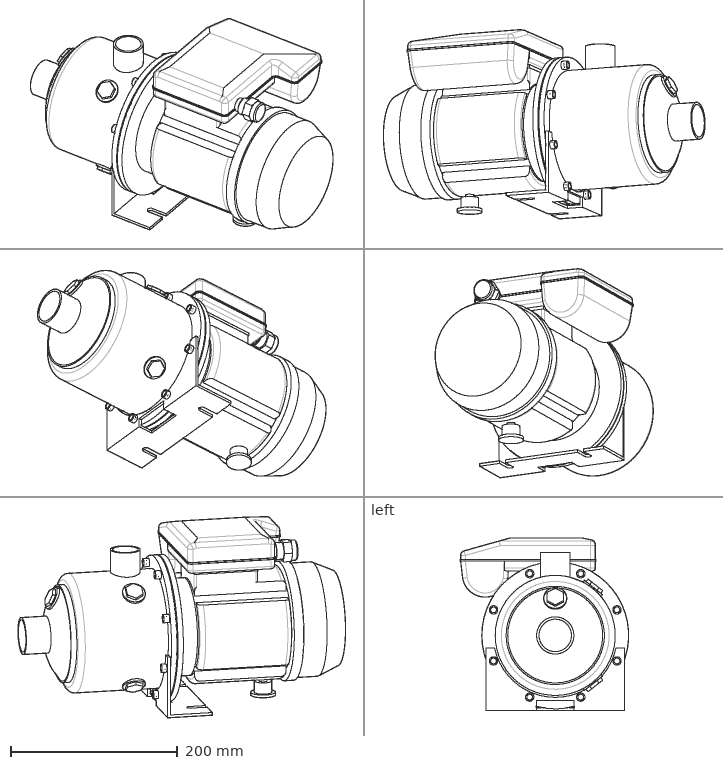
import cadquery as cq
import math


OVERALL_LENGTH = 385.0
FLOOR_Z = -90.0

DOME_START_X = 30.5
DOME_END_X = 46.5
CASING_START_X = 53.5
FLANGE_START_X = 163.3
FLANGE_THICKNESS = 7.0
FLANGE_RADIUS = 88.0
CASING_RADIUS = 72.0
CASING_NOSE_FILLET = 7.5
COLLAR_RADIUS = 59.0
DOME_EDGE_RADIUS = 57.0
DOME_MID_X = 36.5
DOME_MID_RADIUS = 42.0
INLET_OUTER_RADIUS = 22.5
INLET_BORE_RADIUS = 19.45
OUTLET_X = 127.0
OUTLET_OUTER_RADIUS = 17.9
OUTLET_BORE_RADIUS = 15.2
OUTLET_TOP_Z = 99.7

PLUG_WASHER_RADIUS = 14.0
PLUG_WASHER_RISE = 1.5
PLUG_HEX_RISE = 5.5
PLUG_HEX_CORNERS = 22.5
PLUG_ROOT_DEPTH = 4.0
CASING_PLUG_ANGLE = 51.5
DOME_PLUG_TILT = 26.0
DOME_PLUG_SEAT_X = 37.7
DOME_PLUG_SEAT_Z = 44.3

SCREW_COUNT = 8
SCREW_CIRCLE_RADIUS = 80.0
SCREW_HEAD_RADIUS = 5.0
SCREW_SOCKET_RADIUS = 3.5
SCREW_SOCKET_DEPTH = 3.5
SCREW_HEAD_HEIGHT = 7.0
BRACKET_SCREW_HEAD_HEIGHT = 5.8
SCREW_SHANK_RADIUS = 3.5

SHEET = 3.5
BRACKET_HALF_WIDTH = 83.0
BRACKET_TOP_Z = -15.0
BRACKET_OPENING_RADIUS = 74.5
BRACKET_TOE_X = 215.0
WINDOW_WIDTH = 45.5
WINDOW_TOP_Z = -77.8
WINDOW_END_X = 179.5
SLOT_Y = 52.5
SLOT_WIDTH = 8.0
SLOT_CENTRE_X = 195.2

SEAL_THICKNESS = 1.0
SEAL_RADIUS = 84.7
ADAPTER_FLANGE_END_X = 178.0
ADAPTER_END_X = 202.0

MOTOR_END_X = 318.5
LOBE_START_X = 204.0
LOBE_END_X = 317.0
LOBE_RADIUS = 69.5
LOBE_END_FILLET = 5.8
SIDE_LOBE_HALF = 40.0
UPRIGHT_LOBE_HALF = 36.2
PEDESTAL_END_X = 282.3
PEDESTAL_TOP_Z = 73.0
PEDESTAL_CORNER = 2.5

COVER_FLANGE_END_X = 330.5
COVER_RADIUS = 69.0
COVER_CONE_START_X = 359.5
COVER_END_RADIUS = 57.8

BOX_START_X = 193.0
BOX_MAIN_END_X = 302.0
BOX_END_X = 332.7
BOX_FRONT_Y = -49.0
BOX_STEP_Y = 55.0
BOX_BACK_Y = 114.5
BOX_EDGE_RADIUS = 5.8
BOX_TOP_Z = 117.0
BOX_TRAY_Z = 77.0
RIM_BOTTOM_Z = 89.5
RIM_TOP_Z = 91.3
RIM_PROUD = 0.8
ROOF_START_X = 208.7
ROOF_END_X = 287.0
ROOF_FRONT_Y = -31.5
ROOF_BACK_Y = 54.0
ROOF_SLOPE = 0.36
ROOF_FRONT_SLOPE = 0.2
ROOF_BACK_SLOPE = 0.28
TRAY_FILLET = 4.0
CAPACITOR_Y = 84.0
CAPACITOR_HALF_WIDTH = 27.5
CAPACITOR_ARC_Z = 69.5
CAPACITOR_BOTTOM_Z = 46.0
CAPACITOR_END_DRAFT = 4.5

GLAND_Y = -20.5
GLAND_Z = 92.0
GLAND_NECK_RADIUS = 8.5
GLAND_BODY_START_X = 307.0
GLAND_BODY_RADIUS = 10.2
GLAND_NUT_START_X = 315.5
GLAND_NUT_CORNERS = 27.7
GLAND_CAP_START_X = 325.5
GLAND_CAP_RADIUS = 12.5
GLAND_CAP_CHAMFER = 1.5

FOOT_X = 297.0
FOOT_STEM_RADIUS = 5.0
FOOT_STEM_TOP_Z = -65.5
FOOT_RUBBER_TOP_Z = -72.8
FOOT_RUBBER_RADIUS = 10.6
FOOT_BASE_RADIUS = 15.0
FOOT_BASE_TOP_Z = FLOOR_Z + SHEET

FLANGE_END_X = FLANGE_START_X + FLANGE_THICKNESS
BRACKET_START_X = FLANGE_START_X - SHEET


def disc(radius, start_x, end_x, y=0.0, z=0.0):
    """Cylinder along X."""
    return cq.Workplane("YZ", origin=(start_x, y, z)).circle(radius).extrude(end_x - start_x)


def post(radius, bottom_z, top_z, x):
    """Cylinder along Z above or below the shaft axis."""
    return cq.Workplane("XY", origin=(x, 0, bottom_z)).circle(radius).extrude(top_z - bottom_z)


def block(start, end):
    """Box between two opposite corners."""
    size = [b - a for a, b in zip(start, end)]
    return cq.Workplane("XY").box(*size, centered=False).translate(start)


def screw_places():
    """(y, z) centres of the flange screws."""
    angles = [math.radians(360 / SCREW_COUNT * (i + 0.5)) for i in range(SCREW_COUNT)]
    return [(SCREW_CIRCLE_RADIUS * math.cos(a), SCREW_CIRCLE_RADIUS * math.sin(a)) for a in angles]


def casing_shell():
    """Dome, collar, barrel and flange, turned about the shaft axis."""
    profile = (
        cq.Workplane("XY")
        .moveTo(DOME_START_X, 0)
        .lineTo(DOME_START_X, INLET_OUTER_RADIUS)
        .threePointArc((DOME_MID_X, DOME_MID_RADIUS), (DOME_END_X, DOME_EDGE_RADIUS))
        .lineTo(DOME_END_X, COLLAR_RADIUS)
        .lineTo(CASING_START_X, COLLAR_RADIUS)
        .lineTo(CASING_START_X, CASING_RADIUS - CASING_NOSE_FILLET)
        .radiusArc((CASING_START_X + CASING_NOSE_FILLET, CASING_RADIUS), CASING_NOSE_FILLET)
        .lineTo(FLANGE_START_X, CASING_RADIUS)
        .lineTo(FLANGE_START_X, FLANGE_RADIUS)
        .lineTo(FLANGE_END_X, FLANGE_RADIUS)
        .lineTo(FLANGE_END_X, 0)
        .close()
    )
    return profile.revolve(360, (0, 0, 0), (1, 0, 0))


def inlet_pipe():
    return disc(INLET_OUTER_RADIUS, 0, DOME_START_X).cut(disc(INLET_BORE_RADIUS, 0, DOME_START_X))


def outlet_pipe():
    """Tube standing on the barrel."""
    pipe = post(OUTLET_OUTER_RADIUS, 0, OUTLET_TOP_Z, OUTLET_X)
    bore = post(OUTLET_BORE_RADIUS, 0, OUTLET_TOP_Z, OUTLET_X)
    return pipe.cut(bore).cut(disc(CASING_RADIUS, CASING_START_X, FLANGE_START_X))


def plug(seat, outward, corner_direction):
    """Round washer and hexagon head on a seat point."""
    plane = cq.Plane(origin=seat, xDir=corner_direction, normal=outward)
    base = cq.Workplane(plane).workplane(offset=-PLUG_ROOT_DEPTH)
    washer = base.circle(PLUG_WASHER_RADIUS).extrude(PLUG_ROOT_DEPTH + PLUG_WASHER_RISE)
    head = base.polygon(6, PLUG_HEX_CORNERS).extrude(PLUG_ROOT_DEPTH + PLUG_HEX_RISE)
    return washer.union(head)


def casing_plug(angle):
    """Plug on the -Y side of the barrel."""
    cosine = math.cos(math.radians(angle))
    sine = math.sin(math.radians(angle))
    seat = (OUTLET_X, -CASING_RADIUS * cosine, CASING_RADIUS * sine)
    return plug(seat, (0, -cosine, sine), (0, sine, cosine))


def dome_plug():
    cosine = math.cos(math.radians(DOME_PLUG_TILT))
    sine = math.sin(math.radians(DOME_PLUG_TILT))
    return plug((DOME_PLUG_SEAT_X, 0, DOME_PLUG_SEAT_Z), (-cosine, 0, sine), (sine, 0, cosine))


def flange_screw(y, z):
    """Socket screw; the lower ones clamp the bracket, so their heads sit in front of it."""
    holds_bracket = z < 0
    seat_x = BRACKET_START_X if holds_bracket else FLANGE_START_X
    head_x = seat_x - (BRACKET_SCREW_HEAD_HEIGHT if holds_bracket else SCREW_HEAD_HEIGHT)
    head = disc(SCREW_HEAD_RADIUS, head_x, seat_x, y, z)
    shank = disc(SCREW_SHANK_RADIUS, head_x, FLANGE_END_X, y, z)
    socket = disc(SCREW_SOCKET_RADIUS, head_x, head_x + SCREW_SOCKET_DEPTH, y, z)
    return head.union(shank).cut(socket)


def make_casing():
    casing = casing_shell().union(inlet_pipe()).union(outlet_pipe()).union(dome_plug())
    for angle in (CASING_PLUG_ANGLE, -CASING_PLUG_ANGLE):
        casing = casing.union(casing_plug(angle))
    for y, z in screw_places():
        casing = casing.union(flange_screw(y, z))
    return casing


def make_bracket():
    """Bent sheet: an upright plate around the casing and a toe on the floor."""
    plate = block(
        (BRACKET_START_X, -BRACKET_HALF_WIDTH, FLOOR_Z), (FLANGE_START_X, BRACKET_HALF_WIDTH, BRACKET_TOP_Z)
    )
    plate = plate.cut(disc(BRACKET_OPENING_RADIUS, BRACKET_START_X, FLANGE_START_X))
    for y, z in screw_places():
        plate = plate.cut(disc(SCREW_SHANK_RADIUS, BRACKET_START_X, FLANGE_START_X, y, z))

    toe_top_z = FLOOR_Z + SHEET
    toe = block(
        (FLANGE_START_X, -BRACKET_HALF_WIDTH, FLOOR_Z), (BRACKET_TOE_X, BRACKET_HALF_WIDTH, toe_top_z)
    )
    for y in (-SLOT_Y, SLOT_Y):
        slot = block(
            (SLOT_CENTRE_X, y - SLOT_WIDTH / 2, FLOOR_Z), (BRACKET_TOE_X, y + SLOT_WIDTH / 2, toe_top_z)
        )
        slot_end = post(SLOT_WIDTH / 2, FLOOR_Z, toe_top_z, SLOT_CENTRE_X).translate((0, y, 0))
        toe = toe.cut(slot).cut(slot_end)
    window = block(
        (BRACKET_START_X, -WINDOW_WIDTH / 2, FLOOR_Z), (WINDOW_END_X, WINDOW_WIDTH / 2, WINDOW_TOP_Z)
    )
    return plate.union(toe).cut(window)


def make_adapter():
    """Narrower seal step, flange and tube."""
    flange_start_x = FLANGE_END_X + SEAL_THICKNESS
    seal = disc(SEAL_RADIUS, FLANGE_END_X, flange_start_x)
    flange = disc(FLANGE_RADIUS, flange_start_x, ADAPTER_FLANGE_END_X)
    return seal.union(flange).union(disc(COLLAR_RADIUS, ADAPTER_FLANGE_END_X, ADAPTER_END_X))


def motor_lobes():
    """Four lobes: a larger round-ended cylinder kept only inside two crossing slabs."""
    drum = disc(LOBE_RADIUS, LOBE_START_X, LOBE_END_X).edges("%CIRCLE").fillet(LOBE_END_FILLET)
    side_slab = block(
        (LOBE_START_X, -LOBE_RADIUS, -SIDE_LOBE_HALF), (LOBE_END_X, LOBE_RADIUS, SIDE_LOBE_HALF)
    )
    upright_slab = block(
        (LOBE_START_X, -UPRIGHT_LOBE_HALF, -LOBE_RADIUS), (LOBE_END_X, UPRIGHT_LOBE_HALF, LOBE_RADIUS)
    )
    return drum.intersect(side_slab.union(upright_slab))


def make_motor():
    core = disc(COLLAR_RADIUS, ADAPTER_END_X, MOTOR_END_X)
    pedestal = block(
        (LOBE_START_X, -UPRIGHT_LOBE_HALF, 0), (PEDESTAL_END_X, UPRIGHT_LOBE_HALF, PEDESTAL_TOP_Z)
    )
    pedestal = pedestal.edges("|Z").fillet(PEDESTAL_CORNER)
    stem_hole = post(FOOT_STEM_RADIUS, -LOBE_RADIUS, FOOT_STEM_TOP_Z, FOOT_X)
    return core.union(motor_lobes()).union(pedestal).cut(stem_hole)


def make_fan_cover():
    """Flange and drum with a conical end."""
    profile = cq.Workplane("XY").polyline([
        (MOTOR_END_X, 0),
        (MOTOR_END_X, CASING_RADIUS),
        (COVER_FLANGE_END_X, CASING_RADIUS),
        (COVER_FLANGE_END_X, COVER_RADIUS),
        (COVER_CONE_START_X, COVER_RADIUS),
        (OVERALL_LENGTH, COVER_END_RADIUS),
        (OVERALL_LENGTH, 0),
    ])
    return profile.close().revolve(360, (0, 0, 0), (1, 0, 0))


def box_outline(level_z, height, inset):
    """L-shaped prism of the box plan, shrunk by an inset."""
    plan = cq.Workplane("XY", origin=(0, 0, level_z)).polyline([
        (BOX_START_X + inset, BOX_FRONT_Y + inset),
        (BOX_MAIN_END_X - inset, BOX_FRONT_Y + inset),
        (BOX_MAIN_END_X - inset, BOX_STEP_Y + inset),
        (BOX_END_X - inset, BOX_STEP_Y + inset),
        (BOX_END_X - inset, BOX_BACK_Y - inset),
        (BOX_START_X + inset, BOX_BACK_Y - inset),
    ])
    return plan.close().extrude(height)


def is_roof_rim(edge):
    """True for the edges where the sloping roof meets the walls."""
    bounds = edge.BoundingBox()
    return bounds.zmin > RIM_TOP_Z + BOX_EDGE_RADIUS and bounds.zmax < BOX_TOP_Z - BOX_EDGE_RADIUS / 2


def box_lid():
    """Lid whose roof falls from a flat middle to all four sides."""
    front_z = BOX_TOP_Z - ROOF_FRONT_SLOPE * (ROOF_FRONT_Y - BOX_FRONT_Y)
    back_z = BOX_TOP_Z - ROOF_BACK_SLOPE * (BOX_BACK_Y - ROOF_BACK_Y)
    start_z = BOX_TOP_Z - ROOF_SLOPE * (ROOF_START_X - BOX_START_X)
    end_z = BOX_TOP_Z - ROOF_SLOPE * (BOX_END_X - ROOF_END_X)
    across = cq.Workplane("YZ", origin=(BOX_START_X, 0, 0)).polyline([
        (BOX_FRONT_Y, RIM_TOP_Z),
        (BOX_FRONT_Y, front_z),
        (ROOF_FRONT_Y, BOX_TOP_Z),
        (ROOF_BACK_Y, BOX_TOP_Z),
        (BOX_BACK_Y, back_z),
        (BOX_BACK_Y, RIM_TOP_Z),
    ]).close().extrude(BOX_END_X - BOX_START_X)
    along = cq.Workplane("XZ", origin=(0, BOX_BACK_Y, 0)).polyline([
        (BOX_START_X, RIM_TOP_Z),
        (BOX_START_X, start_z),
        (ROOF_START_X, BOX_TOP_Z),
        (ROOF_END_X, BOX_TOP_Z),
        (BOX_END_X, end_z),
        (BOX_END_X, RIM_TOP_Z),
    ]).close().extrude(BOX_BACK_Y - BOX_FRONT_Y)
    lid = box_outline(RIM_TOP_Z, BOX_TOP_Z - RIM_TOP_Z, RIM_PROUD)
    lid = lid.intersect(across).intersect(along)
    corners = lid.edges("|Z").vals()
    roof_rim = lid.edges("not |Z").filter(is_roof_rim).vals()
    return lid.newObject(corners + roof_rim).fillet(BOX_EDGE_RADIUS)


def box_tray():
    """Shallow lower half with rounded bottom edges, running into the capacitor pod at the back."""
    tray = block(
        (BOX_START_X + RIM_PROUD, BOX_FRONT_Y + RIM_PROUD, BOX_TRAY_Z),
        (BOX_MAIN_END_X - RIM_PROUD, BOX_STEP_Y + BOX_EDGE_RADIUS, RIM_BOTTOM_Z),
    )
    tray = tray.edges("|Z and <Y").fillet(BOX_EDGE_RADIUS)
    return tray.faces("<Z").edges("not >Y").fillet(TRAY_FILLET)


def capacitor_pod():
    """Round-bottomed pod under the rear of the box, with drafted and rounded ends."""
    start_x = BOX_START_X + RIM_PROUD
    end_x = BOX_END_X - RIM_PROUD
    across = (
        cq.Workplane("YZ", origin=(start_x, 0, 0))
        .moveTo(BOX_STEP_Y + RIM_PROUD, RIM_BOTTOM_Z)
        .lineTo(CAPACITOR_Y - CAPACITOR_HALF_WIDTH, CAPACITOR_ARC_Z)
        .threePointArc(
            (CAPACITOR_Y, CAPACITOR_BOTTOM_Z), (CAPACITOR_Y + CAPACITOR_HALF_WIDTH, CAPACITOR_ARC_Z)
        )
        .lineTo(BOX_BACK_Y - RIM_PROUD, RIM_BOTTOM_Z)
        .close()
        .extrude(end_x - start_x)
    )
    along = cq.Workplane("XZ", origin=(0, BOX_BACK_Y, 0)).polyline([
        (start_x, RIM_BOTTOM_Z),
        (end_x, RIM_BOTTOM_Z),
        (end_x - CAPACITOR_END_DRAFT, CAPACITOR_BOTTOM_Z),
        (start_x + CAPACITOR_END_DRAFT, CAPACITOR_BOTTOM_Z),
    ]).close().extrude(BOX_BACK_Y - BOX_STEP_Y)
    pod = across.intersect(along)
    return pod.faces("<X or >X").edges("not >Z").fillet(BOX_EDGE_RADIUS)


def cable_gland():
    """Neck, body, hexagon nut and cap along X."""
    neck = disc(GLAND_NECK_RADIUS, BOX_MAIN_END_X - BOX_EDGE_RADIUS, GLAND_BODY_START_X, GLAND_Y, GLAND_Z)
    body = disc(GLAND_BODY_RADIUS, GLAND_BODY_START_X, GLAND_NUT_START_X, GLAND_Y, GLAND_Z)
    nut = cq.Workplane("YZ", origin=(GLAND_NUT_START_X, GLAND_Y, GLAND_Z)).polygon(6, GLAND_NUT_CORNERS)
    nut = nut.extrude(GLAND_CAP_START_X - GLAND_NUT_START_X)
    cap = disc(GLAND_CAP_RADIUS, GLAND_CAP_START_X, BOX_END_X, GLAND_Y, GLAND_Z)
    cap = cap.faces(">X").chamfer(GLAND_CAP_CHAMFER)
    return neck.union(body).union(nut).union(cap)


def make_terminal_box():
    rim = box_outline(RIM_BOTTOM_Z, RIM_TOP_Z - RIM_BOTTOM_Z, 0).edges("|Z").fillet(BOX_EDGE_RADIUS)
    collar = block(
        (LOBE_START_X, -UPRIGHT_LOBE_HALF, PEDESTAL_TOP_Z), (PEDESTAL_END_X, UPRIGHT_LOBE_HALF, BOX_TRAY_Z)
    )
    box = box_lid().union(rim).union(box_tray()).union(capacitor_pod()).union(collar)
    return box.union(cable_gland())


def make_foot():
    """Stem screwed into the motor, rubber buffer and base disc."""
    stem = post(FOOT_STEM_RADIUS, FOOT_RUBBER_TOP_Z, FOOT_STEM_TOP_Z, FOOT_X)
    rubber = post(FOOT_RUBBER_RADIUS, FOOT_BASE_TOP_Z, FOOT_RUBBER_TOP_Z, FOOT_X)
    base = post(FOOT_BASE_RADIUS, FLOOR_Z, FOOT_BASE_TOP_Z, FOOT_X)
    return stem.union(rubber).union(base)


casing = make_casing()
bracket = make_bracket()
adapter = make_adapter()
motor = make_motor()
fan_cover = make_fan_cover()
terminal_box = make_terminal_box()
foot = make_foot()

result = cq.Compound.makeCompound([
    casing.val(),
    bracket.val(),
    adapter.val(),
    motor.val(),
    fan_cover.val(),
    terminal_box.val(),
    foot.val(),
])